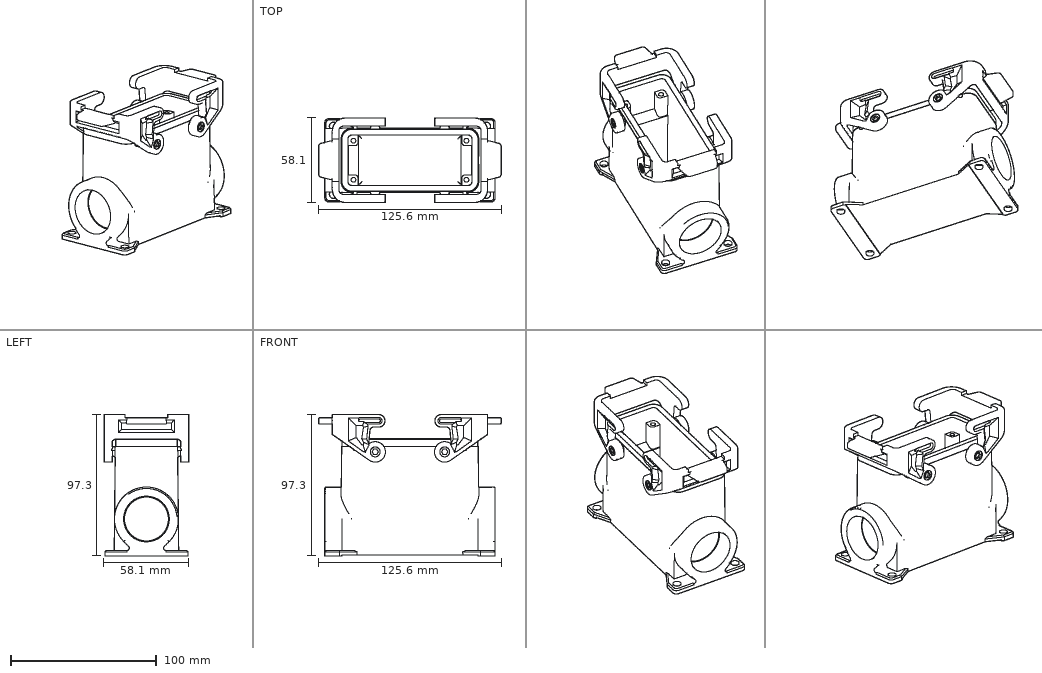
import cadquery as cq
import math

BASE_Z = 0.8
BASE_HALF_X = 46.7
BOSS_Z = 25.5
BODY_HALF_X = 47.5
BODY_HALF_Y = 22.0
BODY_CORNER_R = 7.4
BODY_DRAFT = 0.6
RIM_Z = 80.0
RIM_CROWN = 0.6
COLLAR_Z = 75.2
COLLAR_STEP = 0.3
COLLAR_SHRINK = (COLLAR_Z - BOSS_Z) * math.tan(math.radians(BODY_DRAFT)) + COLLAR_STEP
COLLAR_HALF_X = BODY_HALF_X - COLLAR_SHRINK
COLLAR_HALF_Y = BODY_HALF_Y - COLLAR_SHRINK
COLLAR_CORNER_R = BODY_CORNER_R - COLLAR_SHRINK

CAVITY_HALF_X = 42.7
CAVITY_HALF_Y = 17.3
CAVITY_CORNER_R = 2.9
CAVITY_DRAFT = 0.9
FLOOR_Z = 3.8
FLOOR_R = 1.9
END_WALL_X = 35.1
LEDGE_Z = 50.2
LEDGE_RISE = 3.1

POST_X = 38.8
POST_Y = 13.4
POST_INNER_X = 35.6
POST_INNER_Y = 10.0
POST_SINK = 0.6
POST_TOP_Z = 69.0
POST_HOLE_R = 1.6
POST_HOLE_DEPTH = 12.5
POST_R = 2.3

BOSS_X = 58.5
BOSS_R = 22.0
BOSS_INNER_X = BODY_HALF_X - BODY_CORNER_R
BOSS_EDGE_R = 1.0
BORE_R = 15.7
BORE_STEP_X = 44.5
INNER_BORE_R = 15.0
BORE_END_X = 36.6
BORE_END_R = 1.3
NECK_R = 1.6

FOOT_HALF_Y = 28.6
FOOT_TOP_Z = 3.9
FOOT_INNER_X = 48.3
FOOT_TIP_X = 35.8
FOOT_CORNER_R = 2.8
FOOT_EDGE = 1.0
FOOT_HOLE_X = 52.5
FOOT_HOLE_Y = 23.3
FOOT_HOLE_R = 2.8

LEVER_TOP_Z = 97.3
LEVER_X = 53.3
LEVER_HALF_Y = 29.05
LEVER_SIDE_T = 5.6
LEVER_END_T = 4.5
LEVER_OUTER_R = 9.0
LEVER_INNER_R = 3.3
LEVER_LOW_Z = 83.5
LEVER_EDGE = 0.4
PIVOT_X = 23.8
PIVOT_Z = 71.5
PIVOT_R = 7.0
FINGER_R = 4.4
FINGER_X = 21.5
HOOK_X = 27.4
HOOK_LOW_X = 28.2
HOOK_R = 2.3
PIN_R = 3.8
PIN_TIP_R = 2.5
PIN_SINK = 0.6
SCREW_HEAD_R = 3.4
SCREW_SOCKET_R = 2.1
SOCKET_SIDES = 6
SCREW_RECESS = 0.6
SCREW_SOCKET_DEPTH = 1.9
STOP_X = 37.6
STOP_Z = 73.8
STOP_R = 1.4

POCKET_DEPTH = 3.0
POCKET_MOUTH = [
    (-42.3, 94.9),
    (-30.7, 94.9),
    (-28.7, 89.1),
    (-29.7, 80.3),
    (-28.0, 76.5),
    (-30.6, 71.3),
    (-32.5, 72.0),
    (-42.3, 79.1),
]
POCKET_FLOOR = [
    (-36.9, 89.5),
    (-32.4, 89.9),
    (-31.9, 88.5),
    (-33.1, 80.6),
    (-31.9, 78.0),
    (-32.1, 76.4),
    (-32.9, 76.2),
    (-36.9, 81.5),
]
SLOT_DEPTH = 1.5
SLOT_TAPER = 35.0
SLOT_R = 2.3
SLOT_START_X = 33.9

TONGUE_X = 62.8
TONGUE_TOP_Z = 95.1
TONGUE_LOW_Z = 90.6
TONGUE_TIP_HALF_Y = 11.3
TONGUE_ROOT_HALF_Y = 14.5
TONGUE_TIP_R = 2.5
TONGUE_EDGE_R = 1.0
RECESS_HALF_Y = 19.1
RECESS_LOW_Z = 85.0
RECESS_TOP_Z = 93.4
RECESS_DEPTH = 1.9
RECESS_TAPER = 45.0


def both_ends(shape):
    """Add the copy mirrored to the +X end."""
    return shape.union(shape.mirror("YZ"))


def both_sides(shape):
    """Add the copy mirrored to the +Y side."""
    return shape.union(shape.mirror("XZ"))


def drafted_block(half_x, half_y, corner_r, start_z, end_z, draft=0.0):
    """Block with rounded vertical corners; the half sizes hold at start_z."""
    outline = cq.Sketch().rect(2 * half_x, 2 * half_y)
    if corner_r:
        outline = outline.vertices().fillet(corner_r)
    plane = cq.Workplane("XY").workplane(offset=start_z)
    return plane.placeSketch(outline).extrude(end_z - start_z, taper=draft)


def rod_x(radius, start_x, end_x):
    """Cylinder along the bore axis."""
    plane = cq.Workplane("YZ", origin=(start_x, 0, BOSS_Z))
    return plane.circle(radius).extrude(end_x - start_x)


def make_body():
    slope = math.tan(math.radians(BODY_DRAFT))
    spread = (BOSS_Z - BASE_Z) * slope
    sharp = drafted_block(BODY_HALF_X + spread, BODY_HALF_Y + spread, 0, BASE_Z, BOSS_Z, BODY_DRAFT)
    base = cq.Workplane("XY").box(2 * BASE_HALF_X, 2 * LEVER_HALF_Y, 2 * BOSS_Z).intersect(sharp)
    rounded = drafted_block(BODY_HALF_X, BODY_HALF_Y, BODY_CORNER_R, BOSS_Z, COLLAR_Z, BODY_DRAFT)
    collar = drafted_block(COLLAR_HALF_X, COLLAR_HALF_Y, COLLAR_CORNER_R, COLLAR_Z, RIM_Z)
    return base.union(rounded).union(collar)


def make_rim_crown():
    """Slightly domed top of the rim, swept around the middle of the wall."""
    half_x = (COLLAR_HALF_X + CAVITY_HALF_X) / 2
    half_y = (COLLAR_HALF_Y + CAVITY_HALF_Y) / 2
    corner_r = (COLLAR_CORNER_R + CAVITY_CORNER_R) / 2
    half_wall = (COLLAR_HALF_X - CAVITY_HALF_X) / 2
    block = drafted_block(half_x, half_y, corner_r, RIM_Z, RIM_Z + RIM_CROWN)
    path = cq.Workplane(block.faces("<Z").wires().val())
    profile = (
        cq.Workplane("XZ")
        .moveTo(-half_x - half_wall, RIM_Z)
        .threePointArc((-half_x, RIM_Z + RIM_CROWN), (-half_x + half_wall, RIM_Z))
        .close()
    )
    return profile.sweep(path)


def make_boss():
    boss = rod_x(BOSS_R, -BOSS_X, -BOSS_INNER_X)
    diagonal = math.sqrt(0.5)
    curl_z = FOOT_TOP_Z + NECK_R
    curl_y = curl_z - BOSS_Z + 2 * diagonal * (BOSS_R + NECK_R)
    half = (
        cq.Workplane("YZ", origin=(-BOSS_X, 0, 0))
        .moveTo(0, BOSS_Z)
        .lineTo(BOSS_R * diagonal, BOSS_Z - BOSS_R * diagonal)
        .lineTo(curl_y - NECK_R * diagonal, curl_z + NECK_R * diagonal)
        .threePointArc((curl_y - NECK_R, curl_z), (curl_y, FOOT_TOP_Z))
        .lineTo(curl_y, 0)
        .lineTo(0, 0)
        .close()
        .extrude(BOSS_X - BASE_HALF_X)
    )
    return boss.faces("<X").edges().fillet(BOSS_EDGE_R).union(both_sides(half))


def make_foot():
    outline = [
        (-BOSS_X, -FOOT_HALF_Y),
        (-FOOT_INNER_X, -FOOT_HALF_Y),
        (-FOOT_TIP_X, -BODY_HALF_Y),
        (-FOOT_TIP_X, BODY_HALF_Y),
        (-FOOT_INNER_X, FOOT_HALF_Y),
        (-BOSS_X, FOOT_HALF_Y),
    ]
    foot = cq.Workplane("XY").polyline(outline).close().extrude(FOOT_TOP_Z)
    foot = foot.edges("|Z and <X").fillet(FOOT_CORNER_R)
    foot = foot.faces(">Z").edges("not(>X)").chamfer(FOOT_EDGE)
    relief = cq.Workplane("XY").box(BASE_HALF_X, 2 * FOOT_HALF_Y, BASE_Z, centered=(False, True, False))
    return foot.cut(relief.translate((-BASE_HALF_X, 0, 0)))


def make_foot_holes():
    points = [(x, y) for x in (-FOOT_HOLE_X, FOOT_HOLE_X) for y in (-FOOT_HOLE_Y, FOOT_HOLE_Y)]
    return cq.Workplane("XY").pushPoints(points).circle(FOOT_HOLE_R).extrude(2 * FOOT_TOP_Z)


def make_cavity():
    shape = (CAVITY_HALF_X, CAVITY_HALF_Y, CAVITY_CORNER_R)
    mouth = drafted_block(*shape, RIM_Z, COLLAR_Z)
    hollow = drafted_block(*shape, COLLAR_Z, FLOOR_Z, CAVITY_DRAFT)
    core = drafted_block(END_WALL_X, BODY_HALF_Y, 0, LEDGE_Z, FLOOR_Z, CAVITY_DRAFT).intersect(hollow)
    core = core.faces("<Z").edges().fillet(FLOOR_R)
    upper_profile = [
        (-CAVITY_HALF_X, COLLAR_Z),
        (-CAVITY_HALF_X, LEDGE_Z + LEDGE_RISE),
        (-END_WALL_X, LEDGE_Z),
        (END_WALL_X, LEDGE_Z),
        (CAVITY_HALF_X, LEDGE_Z + LEDGE_RISE),
        (CAVITY_HALF_X, COLLAR_Z),
    ]
    upper = cq.Workplane("XZ").polyline(upper_profile).close().extrude(CAVITY_HALF_Y, both=True)
    return mouth.union(upper.intersect(hollow)).union(core)


def make_post():
    """Screw post at the -X -Y corner, sunk into both walls."""
    size_x = CAVITY_HALF_X - POST_INNER_X + POST_SINK
    size_y = CAVITY_HALF_Y - POST_INNER_Y + POST_SINK
    post = cq.Workplane("XY").box(size_x, size_y, POST_TOP_Z - FLOOR_Z, centered=False)
    post = post.edges("|Z and >X and >Y").fillet(POST_R)
    post = post.translate((-POST_INNER_X - size_x, -POST_INNER_Y - size_y, FLOOR_Z))
    hole = cq.Workplane("XY", origin=(-POST_X, -POST_Y, POST_TOP_Z)).circle(POST_HOLE_R)
    return post.cut(hole.extrude(-POST_HOLE_DEPTH))


def make_bore():
    """Blind cable bore with a small step and a rounded end."""
    entry = rod_x(BORE_R, -BOSS_X, -BORE_STEP_X)
    inner = rod_x(INNER_BORE_R, -BORE_STEP_X, -BORE_END_X)
    return entry.union(inner.faces(">X").edges().fillet(BORE_END_R))


def make_cheek():
    """Side outline of the lever, extruded over its whole width."""
    run = LEVER_X - PIVOT_X
    drop = LEVER_LOW_Z - PIVOT_Z
    touch_angle = math.atan2(drop, -run) + math.acos(PIVOT_R / math.hypot(run, drop))
    touch = (-PIVOT_X + PIVOT_R * math.cos(touch_angle), PIVOT_Z + PIVOT_R * math.sin(touch_angle))
    finger_low_z = LEVER_TOP_Z - 2 * FINGER_R
    throat_low = (-HOOK_LOW_X, PIVOT_Z + math.sqrt(PIVOT_R**2 - (HOOK_LOW_X - PIVOT_X) ** 2))
    corner = HOOK_R * (1 - math.sqrt(0.5))
    return (
        cq.Workplane("XZ")
        .moveTo(-LEVER_X, LEVER_LOW_Z)
        .lineTo(*touch)
        .threePointArc((-PIVOT_X + PIVOT_R, PIVOT_Z), throat_low)
        .lineTo(-HOOK_X, finger_low_z - HOOK_R)
        .threePointArc((-HOOK_X + corner, finger_low_z - corner), (-HOOK_X + HOOK_R, finger_low_z))
        .lineTo(-FINGER_X, finger_low_z)
        .threePointArc((-FINGER_X + FINGER_R, LEVER_TOP_Z - FINGER_R), (-FINGER_X, LEVER_TOP_Z))
        .lineTo(-LEVER_X, LEVER_TOP_Z)
        .close()
        .extrude(LEVER_HALF_Y, both=True)
    )


def make_bow():
    """U-shaped strip that the lever is cut from, open towards the middle of the part."""
    length = LEVER_X - FINGER_X + FINGER_R
    outer = cq.Workplane("XY").box(2 * length, 2 * LEVER_HALF_Y, LEVER_TOP_Z, centered=(False, True, False))
    outer = outer.translate((-LEVER_X, 0, 0)).edges("|Z and <X").fillet(LEVER_OUTER_R)
    inner_half_y = LEVER_HALF_Y - LEVER_SIDE_T
    inner = cq.Workplane("XY").box(2 * length, 2 * inner_half_y, LEVER_TOP_Z, centered=(False, True, False))
    inner = inner.translate((LEVER_END_T - LEVER_X, 0, 0)).edges("|Z and <X").fillet(LEVER_INNER_R)
    return outer.cut(inner)


def make_pocket():
    """Sloping relief in the -Y cheek, with a slot running into the finger."""
    face = cq.Workplane("XZ", origin=(0, -LEVER_HALF_Y, 0))
    mouth = face.polyline(POCKET_MOUTH).close()
    floor = mouth.workplane(offset=-POCKET_DEPTH).polyline(POCKET_FLOOR).close()
    pocket = floor.loft(ruled=True)
    slot_length = SLOT_START_X - FINGER_X
    slot = face.center(-(SLOT_START_X + FINGER_X) / 2, LEVER_TOP_Z - FINGER_R)
    slot = slot.slot2D(slot_length + 2 * SLOT_R, 2 * SLOT_R).extrude(-SLOT_DEPTH, taper=SLOT_TAPER)
    return pocket.union(slot)


def make_pivot_recess():
    """Shallow screw head seat with a socket, in the -Y cheek."""
    face = cq.Workplane("XZ", origin=(-PIVOT_X, -LEVER_HALF_Y, PIVOT_Z))
    seat = face.circle(SCREW_HEAD_R).extrude(-SCREW_RECESS)
    return seat.union(face.polygon(SOCKET_SIDES, 2 * SCREW_SOCKET_R).extrude(-SCREW_SOCKET_DEPTH))


def make_pins():
    """Pivot pin and stop peg between the body and the -Y cheek."""
    inner_y = LEVER_HALF_Y - LEVER_SIDE_T
    pin = (
        cq.Workplane("XZ", origin=(-PIVOT_X, -BODY_HALF_Y + PIN_SINK, PIVOT_Z))
        .circle(PIN_R)
        .workplane(offset=inner_y - BODY_HALF_Y + 2 * PIN_SINK)
        .circle(PIN_TIP_R)
        .loft()
    )
    stop = cq.Workplane("XZ", origin=(-STOP_X, -BODY_HALF_Y + PIN_SINK, STOP_Z)).circle(STOP_R)
    return pin.union(stop.extrude(inner_y - BODY_HALF_Y + 2 * PIN_SINK))


def make_tongue():
    outline = [
        (-TONGUE_X, -TONGUE_TIP_HALF_Y),
        (-LEVER_X + LEVER_END_T, -TONGUE_ROOT_HALF_Y),
        (-LEVER_X + LEVER_END_T, TONGUE_ROOT_HALF_Y),
        (-TONGUE_X, TONGUE_TIP_HALF_Y),
    ]
    plane = cq.Workplane("XY").workplane(offset=TONGUE_LOW_Z)
    tongue = plane.polyline(outline).close().extrude(TONGUE_TOP_Z - TONGUE_LOW_Z)
    tongue = tongue.edges("|Z and <X").fillet(TONGUE_TIP_R)
    return tongue.faces("<X").edges("not(|Z)").fillet(TONGUE_EDGE_R)


def make_lever():
    lever = make_bow().intersect(make_cheek())
    lever = lever.faces("<Y or >Y").edges("not(|Z and <X)").fillet(LEVER_EDGE)
    lever = lever.cut(both_sides(make_pocket())).cut(both_sides(make_pivot_recess()))
    recess = (
        cq.Workplane("YZ", origin=(-LEVER_X, 0, (RECESS_LOW_Z + RECESS_TOP_Z) / 2))
        .rect(2 * RECESS_HALF_Y, RECESS_TOP_Z - RECESS_LOW_Z)
        .extrude(RECESS_DEPTH, taper=RECESS_TAPER)
    )
    notch = cq.Workplane("XY").box(
        2 * LEVER_END_T, 2 * TONGUE_ROOT_HALF_Y, LEVER_TOP_Z - TONGUE_TOP_Z, centered=(True, True, False)
    )
    notch = notch.translate((-LEVER_X, 0, TONGUE_TOP_Z))
    return lever.cut(recess).cut(notch).union(make_tongue()).union(both_sides(make_pins()))


housing = make_body().union(both_ends(make_boss()))
housing = housing.union(both_ends(make_foot()))
housing = housing.cut(make_cavity()).union(make_rim_crown())
housing = housing.union(both_ends(both_sides(make_post())))
housing = housing.cut(both_ends(make_bore())).cut(make_foot_holes())
result = housing.union(both_ends(make_lever()))